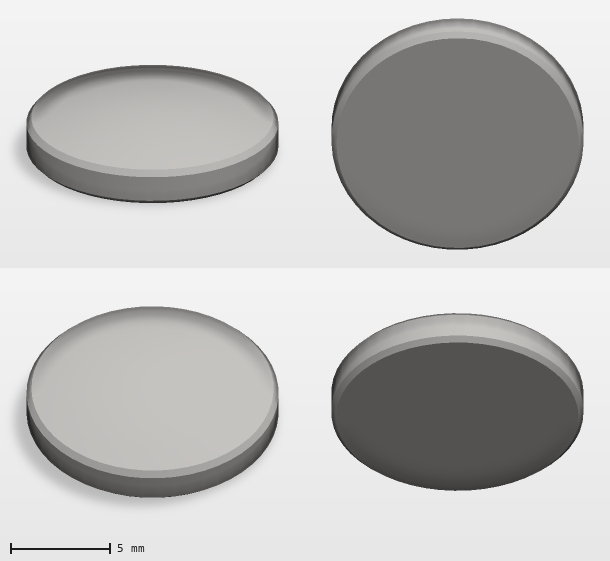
import cadquery as cq
import math

diameter = 12.7
center_thickness = 2.69
dome_radius = 23.0
bevel_width = 0.25
top_bevel_height = 0.3
bottom_bevel_height = 0.25

rim_radius = diameter / 2
face_radius = rim_radius - bevel_width


def dome_height(radius):
    """Height of the spherical face at a distance from the optical axis."""
    drop = dome_radius - math.sqrt(dome_radius**2 - radius**2)
    return center_thickness - drop


dome_edge_height = dome_height(face_radius)

half_section = (
    cq.Workplane("XZ")
    .lineTo(-face_radius, 0)
    .lineTo(-rim_radius, bottom_bevel_height)
    .lineTo(-rim_radius, dome_edge_height - top_bevel_height)
    .lineTo(-face_radius, dome_edge_height)
    .threePointArc((-face_radius / 2, dome_height(face_radius / 2)), (0, center_thickness))
    .close()
)

result = half_section.revolve(360, (0, 0, 0), (0, 1, 0))